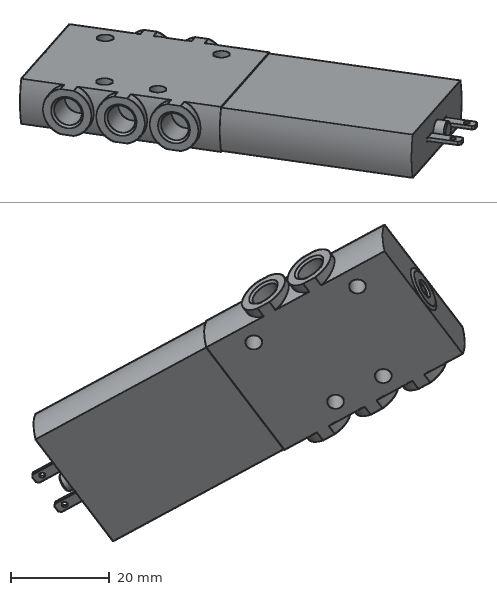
import cadquery as cq

BODY_LENGTH = 43.0
BODY_HEIGHT = 10.0
BODY_WIDTH = 31.0
BODY_FLAT_WIDTH = 29.4

COIL_END = 84.2
COIL_HEIGHT = 9.6
COIL_WIDTH = 30.7
COIL_FLAT_WIDTH = 29.2

COLLAR_DIAMETER = 10.4
COLLAR_SPAN = 34.0
FRONT_PORT_PITCH = 11.5
REAR_PORT_PITCH = 11.0
PORT_CENTRE_X = 22.2
FRONT_PORT_COUNT = 3
REAR_PORT_COUNT = 2
PORT_BORE = 5.92
PORT_MOUTH = 6.9
PORT_DEPTH = 7.0

MOUNT_DIAMETER = 3.4
MOUNT_Y = 10.5
MOUNT_FRONT_PITCH = FRONT_PORT_PITCH
MOUNT_REAR_PITCH = 25.0
MOUNT_REAR_CENTRE_X = 21.7

CAP_DIAMETER = 9.7
CAP_FACE_DIAMETER = 8.0
CAP_HEIGHT = 0.3
OVERRIDE_DIAMETER = 4.0
BUTTON_DIAMETER = 2.0
OVERRIDE_DEPTH = 0.6
BUTTON_HEIGHT = 0.3

STUD_DIAMETER = 4.0
STUD_LENGTH = 2.5
STUD_CHAMFER = 0.3

TERMINAL_END = 91.2
TERMINAL_WIDTH = 2.4
TERMINAL_THICKNESS = 0.8
TERMINAL_PITCH = 8.4
TERMINAL_CHAMFER = 0.5
TERMINAL_ROOT_RADIUS = 0.5
TERMINAL_HOLE_DIAMETER = 1.2
TERMINAL_HOLE_X = 89.2

OVERLAP = 1.0


def crowned_bar(start_x, end_x, height, width, flat_width):
    """Bar along X with flat top and bottom and convex arc sides."""
    half_height = height / 2
    half_flat = flat_width / 2
    return (
        cq.Workplane("YZ", origin=(start_x, 0, 0))
        .moveTo(-half_flat, half_height)
        .lineTo(half_flat, half_height)
        .threePointArc((width / 2, 0), (half_flat, -half_height))
        .lineTo(-half_flat, -half_height)
        .threePointArc((-width / 2, 0), (-half_flat, half_height))
        .close()
        .extrude(end_x - start_x)
    )


def row(centre, pitch, count):
    """Evenly spaced coordinates about a centre."""
    first = centre - pitch * (count - 1) / 2
    return [first + pitch * i for i in range(count)]


def side_plane(x, side):
    """Plane on a collar face, side = -1 or +1 in Y, with its normal pointing into the body."""
    origin = (x, side * COLLAR_SPAN / 2, 0)
    return cq.Workplane(cq.Plane(origin=origin, xDir=(1, 0, 0), normal=(0, -side, 0)))


def port_collar(x, side):
    """Round collar trimmed flush with the top and bottom of the body."""
    length = (COLLAR_SPAN - BODY_FLAT_WIDTH) / 2
    collar = side_plane(x, side).circle(COLLAR_DIAMETER / 2).extrude(length)
    slab = cq.Workplane("XY").box(2 * BODY_LENGTH, 2 * COLLAR_SPAN, BODY_HEIGHT).translate((x, 0, 0))
    return collar.intersect(slab)


def port_bore(x, side):
    """Blind bore with a conical lead-in at its mouth."""
    lead_in = (PORT_MOUTH - PORT_BORE) / 2
    bore = side_plane(x, side).circle(PORT_BORE / 2).extrude(PORT_DEPTH)
    cone = cq.Solid.makeCone(
        PORT_MOUTH / 2,
        PORT_BORE / 2,
        lead_in,
        cq.Vector(x, side * COLLAR_SPAN / 2, 0),
        cq.Vector(0, -side, 0),
    )
    return bore.union(cq.Workplane(cone))


def end_cap():
    """Bevelled disc on the left face of the body."""
    cone = cq.Solid.makeCone(
        CAP_DIAMETER / 2,
        CAP_FACE_DIAMETER / 2,
        CAP_HEIGHT,
        cq.Vector(0, 0, 0),
        cq.Vector(-1, 0, 0),
    )
    return cq.Workplane(cone)


def override_recess():
    """Round recess in the cap face with a lower button standing on its floor."""
    recess = (
        cq.Workplane("YZ", origin=(-CAP_HEIGHT, 0, 0))
        .circle(OVERRIDE_DIAMETER / 2)
        .extrude(OVERRIDE_DEPTH)
    )
    button = (
        cq.Workplane("YZ", origin=(OVERRIDE_DEPTH - CAP_HEIGHT, 0, 0))
        .circle(BUTTON_DIAMETER / 2)
        .extrude(-BUTTON_HEIGHT)
    )
    return recess.cut(button)


def coil_stud():
    """Chamfered stud on the coil end."""
    return (
        cq.Workplane("YZ", origin=(COIL_END - OVERLAP, 0, 0))
        .circle(STUD_DIAMETER / 2)
        .extrude(OVERLAP + STUD_LENGTH)
        .faces(">X")
        .chamfer(STUD_CHAMFER)
    )


def terminal(y):
    """Flat blade with a cross hole and chamfered tip corners."""
    length = TERMINAL_END - COIL_END
    blade = (
        cq.Workplane("XY")
        .box(length, TERMINAL_WIDTH, TERMINAL_THICKNESS)
        .translate((COIL_END + length / 2, y, 0))
        .edges(">X and |Z")
        .chamfer(TERMINAL_CHAMFER)
    )
    hole = (
        cq.Workplane("XY", origin=(TERMINAL_HOLE_X, y, 0))
        .circle(TERMINAL_HOLE_DIAMETER / 2)
        .extrude(TERMINAL_THICKNESS, both=True)
    )
    return blade.cut(hole)


def flare_terminal_root(part, y):
    """Flare the side edges of a terminal where it leaves the coil face."""
    root_edges = cq.selectors.BoxSelector(
        (COIL_END - TERMINAL_CHAMFER, y - TERMINAL_WIDTH, -TERMINAL_THICKNESS),
        (COIL_END + TERMINAL_CHAMFER, y + TERMINAL_WIDTH, TERMINAL_THICKNESS),
        boundingbox=True,
    )
    return part.edges("|Z").edges(root_edges).fillet(TERMINAL_ROOT_RADIUS)


def mounting_holes():
    """Two through holes along each long side of the body."""
    front = [(x, -MOUNT_Y) for x in row(PORT_CENTRE_X, MOUNT_FRONT_PITCH, 2)]
    rear = [(x, MOUNT_Y) for x in row(MOUNT_REAR_CENTRE_X, MOUNT_REAR_PITCH, 2)]
    return (
        cq.Workplane("XY")
        .pushPoints(front + rear)
        .circle(MOUNT_DIAMETER / 2)
        .extrude(BODY_HEIGHT, both=True)
    )


ports = [(x, -1) for x in row(PORT_CENTRE_X, FRONT_PORT_PITCH, FRONT_PORT_COUNT)]
ports += [(x, 1) for x in row(PORT_CENTRE_X, REAR_PORT_PITCH, REAR_PORT_COUNT)]

result = crowned_bar(0, BODY_LENGTH, BODY_HEIGHT, BODY_WIDTH, BODY_FLAT_WIDTH)
result = result.union(crowned_bar(BODY_LENGTH, COIL_END, COIL_HEIGHT, COIL_WIDTH, COIL_FLAT_WIDTH))

for port_x, port_side in ports:
    result = result.union(port_collar(port_x, port_side))
for port_x, port_side in ports:
    result = result.cut(port_bore(port_x, port_side))

result = result.cut(mounting_holes())
result = result.union(end_cap()).cut(override_recess())
result = result.union(coil_stud())
for terminal_y in row(0, TERMINAL_PITCH, 2):
    result = flare_terminal_root(result.union(terminal(terminal_y)), terminal_y)